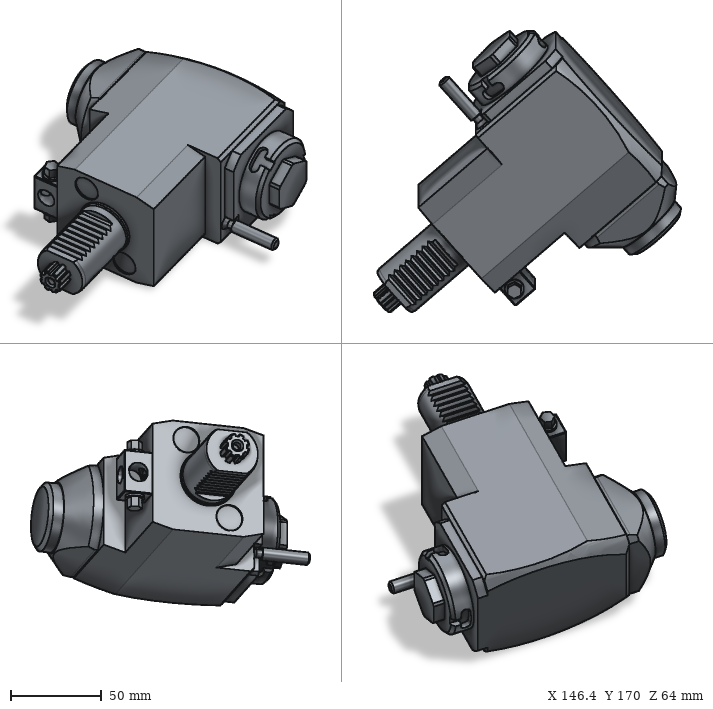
import cadquery as cq
import math


half_width = 32.0
stem_taper = math.radians(15)
taper_start_x = 20.4
spindle_y = 85.0
back_y = 115.0
stem_length = 51.2
head_left_x = -44.4
head_right_x = 42.3
right_edge_chamfer = 2.0
back_left_chamfer = 3.5
crown_x = 10.4
crown_radius = 42.0
crown_left_radius = 34.0

nose_back_y = 111.2
nose_radius = 33.7
nose_cone_start_x = -50.2
nose_flat_half_height = 24.8
nose_flat_end_x = -46.2
cone_end_radius = 19.9
cap_radius = 19.2
cap_start_x = -62.9
cap_end_x = -70.9
cap_chamfer_length = 2.0
cap_chamfer_depth = 2.5

flange_end_x = 48.1
flange_half_side = 29.8
flange_corner_radius = 37.2
nut_radius = 24.3
nut_end_x = 61.0
nut_chamfer = 2.0
nut_slot_x = 52.7
nut_slot_width = 5.8
nut_slot_length = 15.3
nut_notch_width = 5.1
nut_slot_depth = 3.4
nut_slot_count = 3
nut_slot_first_turn = 30
hex_across_flats = 27.2
hex_across_corners = 30.3
hex_end_x = 67.7

pin_y = 56.5
pin_z = -19.0
pin_radius = 3.5
pin_end_x = 75.5
pin_tip_chamfer = 1.0
pin_neck_radius = 2.4
pin_foot_radius = 4.2
pin_foot_length = 2.4
pin_step_y = 60.5
pin_step_z = -14.0

shank_radius = 15.3
shank_end_y = -45.2
shank_chamfer_length = 2.0
shank_chamfer_depth = 0.5
collar_radius = 16.0
collar_length = 1.5
collar_taper = 0.8
flat_height = 12.0
flat_start_y = -7.3
groove_count = 8
groove_first_y = -11.2
groove_pitch = 4.0
groove_depth = 1.5
groove_half_width = 1.7

spline_end_y = back_y - 170.0
spline_radius = 7.1
spline_root_radius = 5.5
spline_root_half_width = 0.8
spline_mouth_half_width = 1.5
spline_count = 8
spline_chamfer = 0.7
center_hole_radius = 2.2
center_hole_depth = 5.1
center_countersink_radius = 3.4

recess_x = 12.4
recess_z = 21.6
recess_radius = 7.5
recess_depth = 1.0

block_left_x = -48.0
block_front_y = 1.0
block_back_y = 16.0
block_half_height = 12.2
block_chamfer = 0.5
front_port_x = -39.8
front_port_radius = 5.5
side_port_radius = 4.8
front_port_depth = 12.8
side_port_depth = 13.8
side_channel_radius = 1.5
plug_x = -40.1
plug_y = 7.1
plug_collar_radius = 5.3
plug_collar_height = 1.4
plug_top_z = 19.4
plug_hex_diameter = 8.3
plug_hex_turn = -15


def box(x_range, y_range, z_range):
    """Box from the limits along each axis."""
    size = [high - low for low, high in (x_range, y_range, z_range)]
    corner = (x_range[0], y_range[0], z_range[0])
    return cq.Workplane("XY").box(*size, centered=False).translate(corner)


def turned_on_spindle(profile):
    """Solid turned about the spindle axis from (x, radius) points."""
    solid = cq.Workplane("XY").polyline(profile).close().revolve(360, (0, 0, 0), (1, 0, 0))
    return solid.translate((0, spindle_y, 0))


def turned_on_shank(profile):
    """Solid turned about the shank axis from (radius, y) points."""
    return cq.Workplane("XY").polyline(profile).close().revolve(360, (0, 0, 0), (0, 1, 0))


def along_y(outline_plane, y_start, y_end):
    """Extrude an XZ outline between two Y positions."""
    return outline_plane.extrude(y_start - y_end).translate((0, y_start, 0))


def tapered_height(x):
    """Half height of the housing at a position in the tapered zone."""
    return half_width - (abs(x) - taper_start_x) * math.tan(stem_taper)


def mirrored_outline(upper_points):
    """XZ outline symmetric about Z = 0, from its upper points."""
    lower_points = [(x, -z) for x, z in reversed(upper_points)]
    return cq.Workplane("XZ").polyline(upper_points + lower_points).close()


def make_stem():
    outline = mirrored_outline([
        (-half_width, tapered_height(half_width)),
        (-taper_start_x, half_width),
        (taper_start_x, half_width),
        (half_width, tapered_height(half_width)),
    ])
    return along_y(outline, 0, spindle_y)


def make_head():
    outline = mirrored_outline([
        (head_left_x, tapered_height(head_left_x)),
        (-taper_start_x, half_width),
        (head_right_x - right_edge_chamfer, half_width),
        (head_right_x, half_width - right_edge_chamfer),
    ])
    head = along_y(outline, stem_length, back_y)
    back_left_edge = cq.selectors.NearestToPointSelector((head_left_x, back_y, 0))
    head = head.edges(back_left_edge).chamfer(back_left_chamfer)

    half_length = crown_x - head_left_x
    drop = crown_radius - crown_left_radius
    barrel = (
        cq.Workplane("XY")
        .moveTo(head_left_x, 0)
        .lineTo(head_left_x, crown_left_radius)
        .threePointArc((crown_x, crown_radius), (crown_x + half_length, crown_radius - drop))
        .lineTo(crown_x + half_length, 0)
        .close()
        .revolve(360, (0, 0, 0), (1, 0, 0))
        .translate((0, spindle_y, 0))
    )
    x_limits = (head_left_x, head_right_x)
    z_limits = (-half_width, half_width)
    front_half = box(x_limits, (stem_length, spindle_y), z_limits)
    return head.intersect(barrel.union(front_half))


def make_nose():
    cone = turned_on_spindle([
        (head_left_x, 0),
        (head_left_x, nose_radius),
        (nose_cone_start_x, nose_radius),
        (cap_start_x, cone_end_radius),
        (cap_start_x, 0),
    ])
    tip_height = nose_flat_half_height - (nose_flat_end_x - cap_start_x) * math.tan(stem_taper)
    outline = mirrored_outline([
        (cap_start_x, tip_height),
        (nose_flat_end_x, nose_flat_half_height),
        (head_left_x, nose_flat_half_height),
    ])
    cone = cone.intersect(along_y(outline, spindle_y - nose_radius, nose_back_y))
    cap = turned_on_spindle([
        (cap_start_x, 0),
        (cap_start_x, cap_radius),
        (cap_end_x + cap_chamfer_length, cap_radius),
        (cap_end_x, cap_radius - cap_chamfer_depth),
        (cap_end_x, 0),
    ])
    return cone.union(cap)


def make_flange():
    y_limits = (spindle_y - flange_half_side, back_y)
    z_limits = (-flange_half_side, flange_half_side)
    plate = box((head_right_x, flange_end_x), y_limits, z_limits)
    disc = turned_on_spindle([
        (head_right_x, 0),
        (head_right_x, flange_corner_radius),
        (flange_end_x, flange_corner_radius),
        (flange_end_x, 0),
    ])
    pin_step = box((head_right_x, flange_end_x), (y_limits[0], pin_step_y), (z_limits[0], pin_step_z))
    return plate.intersect(disc).cut(pin_step)


def make_nut():
    nut = turned_on_spindle([
        (flange_end_x, 0),
        (flange_end_x, nut_radius),
        (nut_end_x - nut_chamfer, nut_radius),
        (nut_end_x, nut_radius - nut_chamfer),
        (nut_end_x, 0),
    ])
    floor_radius = nut_radius - nut_slot_depth
    slot = (
        cq.Workplane("XY", origin=(nut_slot_x, spindle_y, 0))
        .slot2D(nut_slot_length, nut_slot_width, 90)
        .extrude(nut_radius)
    )
    half_notch = nut_notch_width / 2
    notch = box((nut_slot_x, nut_end_x), (spindle_y - half_notch, spindle_y + half_notch), (0, nut_radius))
    core = turned_on_spindle([
        (flange_end_x, 0),
        (flange_end_x, floor_radius),
        (nut_end_x, floor_radius),
        (nut_end_x, 0),
    ])
    spanner_slot = slot.union(notch).cut(core)
    axis = ((0, spindle_y, 0), (1, spindle_y, 0))
    for index in range(nut_slot_count):
        turn = nut_slot_first_turn + index * 360 / nut_slot_count
        nut = nut.cut(spanner_slot.rotate(*axis, turn))
    return nut


def make_spindle_hexagon():
    def prism(across_flats):
        across_points = across_flats / math.cos(math.pi / 6)
        plane = cq.Workplane("YZ", origin=(nut_end_x, spindle_y, 0))
        return plane.polygon(6, across_points).extrude(hex_end_x - nut_end_x)

    half_side_turn = 360 / 12
    axis = ((0, spindle_y, 0), (1, spindle_y, 0))
    hexagon = prism(hex_across_flats).rotate(*axis, half_side_turn)
    corner_trim = prism(hex_across_corners)
    return hexagon.intersect(corner_trim)


def make_pin():
    profile = [
        (head_right_x, 0),
        (head_right_x, pin_foot_radius),
        (head_right_x + pin_foot_length, pin_neck_radius),
        (flange_end_x, pin_neck_radius),
        (flange_end_x, pin_radius),
        (pin_end_x - pin_tip_chamfer, pin_radius),
        (pin_end_x, pin_radius - pin_tip_chamfer),
        (pin_end_x, 0),
    ]
    return turned_on_spindle(profile).translate((0, pin_y - spindle_y, pin_z))


def make_shank():
    shank = turned_on_shank([
        (0, 0),
        (collar_radius, 0),
        (collar_radius, -collar_length),
        (shank_radius, -collar_length - collar_taper),
        (shank_radius, shank_end_y + shank_chamfer_length),
        (shank_radius - shank_chamfer_depth, shank_end_y),
        (0, shank_end_y),
    ])
    x_limits = (-shank_radius, shank_radius)
    groove = (
        cq.Workplane("YZ", origin=(-shank_radius, 0, 0))
        .moveTo(-groove_half_width, flat_height)
        .lineTo(0, flat_height - groove_depth)
        .lineTo(groove_half_width, flat_height)
        .close()
        .extrude(2 * shank_radius)
    )
    cutter = box(x_limits, (shank_end_y, flat_start_y), (flat_height, shank_radius))
    for index in range(groove_count):
        cutter = cutter.union(groove.translate((0, groove_first_y - index * groove_pitch, 0)))
    return shank.cut(cutter).cut(cutter.mirror("XY"))


def make_spline():
    spline = turned_on_shank([
        (0, shank_end_y),
        (spline_radius, shank_end_y),
        (spline_radius, spline_end_y + spline_chamfer),
        (spline_radius - spline_chamfer, spline_end_y),
        (0, spline_end_y),
    ])
    valley_outline = (
        cq.Workplane("XZ")
        .moveTo(-spline_root_half_width, spline_root_radius)
        .lineTo(-spline_mouth_half_width, spline_radius)
        .lineTo(spline_mouth_half_width, spline_radius)
        .lineTo(spline_root_half_width, spline_root_radius)
        .close()
    )
    valley = along_y(valley_outline, shank_end_y, spline_end_y)
    for index in range(spline_count):
        spline = spline.cut(valley.rotate((0, 0, 0), (0, 1, 0), index * 360 / spline_count))
    countersink_depth = center_countersink_radius - center_hole_radius
    center_hole = turned_on_shank([
        (0, spline_end_y),
        (center_countersink_radius, spline_end_y),
        (center_hole_radius, spline_end_y + countersink_depth),
        (center_hole_radius, spline_end_y + center_hole_depth),
        (0, spline_end_y + center_hole_depth),
    ])
    return spline.cut(center_hole)


def make_front_recesses():
    centers = cq.Workplane("XZ").pushPoints([(-recess_x, recess_z), (recess_x, -recess_z)])
    return along_y(centers.circle(recess_radius), recess_depth, 0)


def make_plug():
    """Hexagon plug on top of the coolant block."""
    collar = (
        cq.Workplane("XY", origin=(plug_x, plug_y, block_half_height))
        .circle(plug_collar_radius)
        .extrude(plug_collar_height)
    )
    head = (
        cq.Workplane("XY")
        .polygon(6, plug_hex_diameter)
        .extrude(plug_top_z - block_half_height)
        .rotate((0, 0, 0), (0, 0, 1), plug_hex_turn)
        .translate((plug_x, plug_y, block_half_height))
    )
    return collar.union(head)


def make_coolant_block():
    x_limits = (block_left_x, -half_width)
    z_limits = (-block_half_height, block_half_height)
    block = box(x_limits, (block_front_y, block_back_y), z_limits)
    block = block.faces("<X or |Z").edges("not >X").chamfer(block_chamfer)

    port_plane = cq.Workplane("XZ").center(front_port_x, 0).circle(front_port_radius)
    front_port = along_y(port_plane, block_front_y + front_port_depth, block_front_y)
    side_plane = cq.Workplane("YZ", origin=(block_left_x, (block_front_y + block_back_y) / 2, 0))
    side_port = side_plane.circle(side_port_radius).extrude(side_port_depth)
    side_channel = side_plane.circle(side_channel_radius).extrude(-half_width - block_left_x)
    block = block.cut(front_port).cut(side_port).cut(side_channel)

    plug = make_plug()
    return block.union(plug).union(plug.mirror("XY"))


result = make_stem().union(make_head()).cut(make_front_recesses())
for feature in (
    make_nose(),
    make_flange(),
    make_nut(),
    make_spindle_hexagon(),
    make_pin(),
    make_shank(),
    make_spline(),
    make_coolant_block(),
):
    result = result.union(feature)